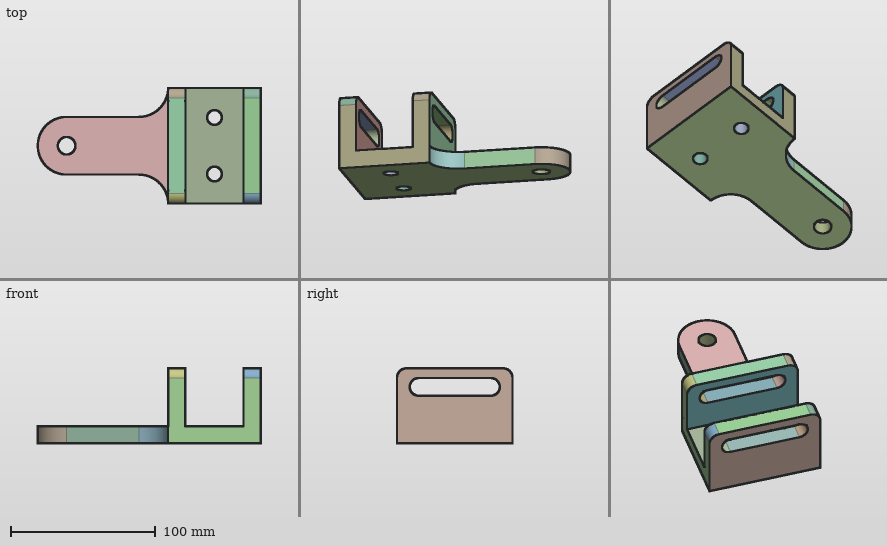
import cadquery as cq

plate_thickness = 12.0
bracket_width = 80.0
bracket_height = 52.0
wall_gap = 40.0
wall_corner_radius = 7.0
bracket_length = wall_gap + 2 * plate_thickness

slot_length = 62.0
slot_height = 12.0
slot_center_z = 39.0

mount_hole_diameter = 10.0
mount_hole_spacing = 39.0

arm_width = 40.0
arm_end_radius = arm_width / 2
arm_straight_length = 50.0
arm_hole_diameter = 12.0
flare_radius = (bracket_width - arm_width) / 2

bracket_start_x = arm_straight_length + flare_radius
bracket_end_x = bracket_start_x + bracket_length
bracket_center_x = bracket_start_x + bracket_length / 2


def make_arm():
    """Flat arm with a round end and a concave flare on each side."""
    half_arm = arm_width / 2
    half_bracket = bracket_width / 2
    return (
        cq.Workplane("XY")
        .moveTo(0, half_arm)
        .lineTo(arm_straight_length, half_arm)
        .tangentArcPoint((bracket_start_x, half_bracket), relative=False)
        .lineTo(bracket_start_x, -half_bracket)
        .radiusArc((arm_straight_length, -half_arm), -flare_radius)
        .lineTo(0, -half_arm)
        .threePointArc((-arm_end_radius, 0), (0, half_arm))
        .close()
        .extrude(plate_thickness)
    )


def make_floor():
    """Flat floor joining the two walls."""
    return cq.Workplane("XY").box(
        bracket_length, bracket_width, plate_thickness, centered=(True, True, False)
    ).translate((bracket_center_x, 0, 0))


def make_wall(start_x):
    """Upright wall with rounded top corners and a horizontal slot."""
    wall = cq.Workplane("XY").box(
        plate_thickness, bracket_width, bracket_height, centered=(False, True, False)
    )
    wall = wall.edges("|X and >Z").fillet(wall_corner_radius)
    slot = (
        cq.Workplane("YZ")
        .center(0, slot_center_z)
        .slot2D(slot_length, slot_height)
        .extrude(plate_thickness)
    )
    return wall.cut(slot).translate((start_x, 0, 0))


def make_hole(x, y, diameter):
    """Cutter for a vertical hole through the arm or the floor."""
    return cq.Workplane("XY").center(x, y).circle(diameter / 2).extrude(plate_thickness)


result = make_arm().union(make_floor())
for wall_start_x in (bracket_start_x, bracket_end_x - plate_thickness):
    result = result.union(make_wall(wall_start_x))

result = result.cut(make_hole(0, 0, arm_hole_diameter))
for side in (-1, 1):
    mount_hole_y = side * mount_hole_spacing / 2
    result = result.cut(make_hole(bracket_center_x, mount_hole_y, mount_hole_diameter))